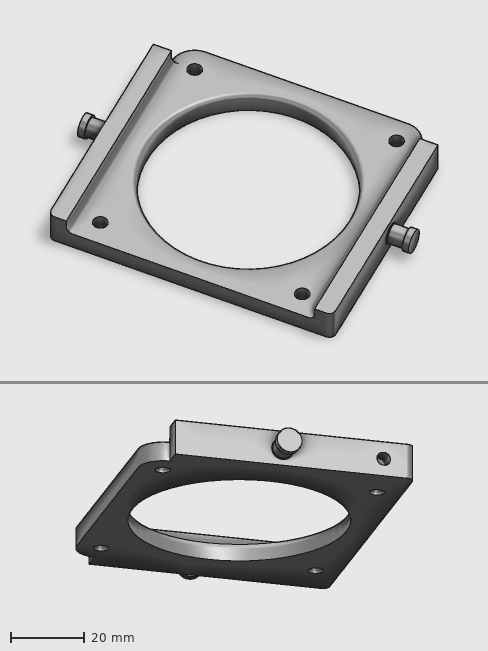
import cadquery as cq

overall_width = 100.0
body_width = 86.0
plate_size = 75.0
plate_thickness = 5.5
rail_height = 10.0
back_corner_radius = 7.0
front_corner_radius = 2.0
channel_fillet = 2.0

bore_diameter = 61.0
bore_fillet = 2.0
screw_hole_diameter = 4.2
screw_hole_spacing = 61.0

side_hole_height = rail_height / 2
right_knob_height = 5.0
left_knob_height = 4.8
knob_head_diameter = 7.0
knob_head_length = 2.0
knob_shaft_diameter = 5.8
knob_collar_diameter = 6.2
knob_collar_length = 0.3
side_hole_diameter = 3.8
side_hole_depth = 5.0
side_hole_from_front = 8.7

front_y = -plate_size / 2
rail_length = plate_size - back_corner_radius
body_side_x = body_width / 2
knob_length = (overall_width - body_width) / 2


def make_body():
    """Square plate with a raised rail along each side and rounded corners."""
    plate = (
        cq.Workplane("XY")
        .rect(plate_size, plate_size)
        .extrude(plate_thickness)
        .edges("|Z and >Y")
        .fillet(back_corner_radius)
    )
    rail_block = (
        cq.Workplane("XY")
        .center(0, front_y + rail_length / 2)
        .rect(body_width, rail_length)
        .extrude(rail_height)
        .edges("|Z and <Y")
        .fillet(front_corner_radius)
    )
    channel = (
        cq.Workplane("XY", origin=(0, 0, plate_thickness))
        .rect(plate_size, 2 * plate_size)
        .extrude(rail_height)
        .edges("|Y and <Z")
        .fillet(channel_fillet)
    )
    return rail_block.cut(channel).union(plate)


def cut_plate_openings(body):
    """Large bore with a rounded upper rim, and four screw holes around it."""
    rim_radius = bore_diameter / 2 + bore_fillet
    rim_start = plate_thickness - bore_fillet
    cutter = (
        cq.Workplane("XZ")
        .lineTo(bore_diameter / 2, 0)
        .lineTo(bore_diameter / 2, rim_start)
        .radiusArc((rim_radius, plate_thickness), bore_fillet)
        .lineTo(0, plate_thickness)
        .close()
        .revolve(360, (0, 0, 0), (0, 1, 0))
    )
    screw_holes = (
        cq.Workplane("XY")
        .rect(screw_hole_spacing, screw_hole_spacing, forConstruction=True)
        .vertices()
        .circle(screw_hole_diameter / 2)
        .extrude(plate_thickness)
    )
    return body.cut(cutter).cut(screw_holes)


def side_cylinder(start_x, y, z, diameter, length):
    """Cylinder along +X from the given start point."""
    return (
        cq.Workplane("YZ", origin=(start_x, y, z))
        .circle(diameter / 2)
        .extrude(length)
    )


def make_knob(height):
    """Headed pin on the +X side with a thin collar at its root."""
    shaft = side_cylinder(body_side_x, 0, height, knob_shaft_diameter, knob_length)
    collar = side_cylinder(body_side_x, 0, height, knob_collar_diameter, knob_collar_length)
    head_start = overall_width / 2 - knob_head_length
    head = side_cylinder(head_start, 0, height, knob_head_diameter, knob_head_length)
    return shaft.union(collar).union(head)


side_hole_y = front_y + side_hole_from_front
side_hole = side_cylinder(
    -body_side_x, side_hole_y, side_hole_height, side_hole_diameter, side_hole_depth
)

result = cut_plate_openings(make_body())
result = result.union(make_knob(right_knob_height))
result = result.union(make_knob(left_knob_height).mirror("YZ"))
result = result.cut(side_hole)